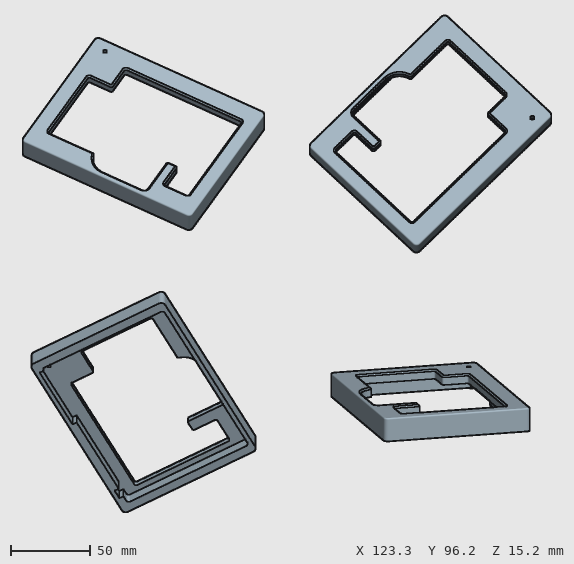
import cadquery as cq
import math

length = 123.3
width = 96.2
height = 15.2
outer_corner_radius = 3.0
top_edge_radius = 1.0

plate_thickness = 6.0
wall_thickness = 5.9
thin_wall_thickness = 3.0
pocket_corner_radius = 1.8

opening_left = -50.0
opening_right = 51.9
opening_back = 34.5
opening_front = -33.8
tab_right = -33.0
tab_front = 17.6
rib_left = 26.9
rib_right = 34.3
rib_tip = -16.8
bay_front = -44.0
bay_arc_radius = 12.3
bay_arc_center_x = -4.3
bay_corner_radius = 2.7
opening_corner_radius = 1.2
opening_chamfer = 1.1

left_recess_right = -11.0
right_recess_left = 44.1
right_recess_right = 50.3

pin_hole_diameter = 2.5
pin_hole_x = -50.9
pin_hole_y = 40.1

pocket_length = length - 2 * wall_thickness
pocket_back = width / 2 - wall_thickness
pocket_front = thin_wall_thickness - width / 2
left_recess_left = pocket_corner_radius - pocket_length / 2
recess_depth = wall_thickness - thin_wall_thickness
pocket_depth = height - plate_thickness


def make_body():
    """Solid block with round corners and a rounded top edge."""
    block = cq.Workplane("XY").box(length, width, height, centered=(True, True, False))
    return block.edges("|Z").fillet(outer_corner_radius).faces(">Z").edges().fillet(top_edge_radius)


def make_pocket():
    """Hollow below the plate."""
    pocket = cq.Workplane("XY").box(
        pocket_length, pocket_back - pocket_front, pocket_depth, centered=(True, False, False)
    )
    pocket = pocket.edges("|Z").fillet(pocket_corner_radius)
    return pocket.translate((0, pocket_front, 0))


def make_recess(left, right):
    """Rectangular recess in the inner face of the back wall, open below."""
    overlap = pocket_corner_radius
    recess = cq.Workplane("XY").box(right - left, recess_depth + overlap, pocket_depth, centered=False)
    return recess.translate((left, pocket_back - overlap, 0))


def vertical_edge_at(x, y):
    """Selector for the full-height edge standing at the given point."""
    reach = 0.1
    return cq.selectors.BoxSelector((x - reach, y - reach, 0), (x + reach, y + reach, height))


def make_opening():
    """Window with a corner tab, a rib and a bay that ends in an arc."""
    arc_center_y = bay_front + bay_arc_radius
    start_angle = math.pi + math.asin((arc_center_y - opening_front) / bay_arc_radius)
    floor_angle = 1.5 * math.pi
    middle_angle = (start_angle + floor_angle) / 2

    def arc_point(angle):
        return (
            bay_arc_center_x + bay_arc_radius * math.cos(angle),
            arc_center_y + bay_arc_radius * math.sin(angle),
        )

    outline = (
        cq.Workplane("XY")
        .moveTo(opening_left, tab_front)
        .lineTo(opening_left, opening_front)
        .lineTo(*arc_point(start_angle))
        .threePointArc(arc_point(middle_angle), (bay_arc_center_x, bay_front))
        .lineTo(rib_left, bay_front)
        .lineTo(rib_left, rib_tip)
        .lineTo(rib_right, rib_tip)
        .lineTo(rib_right, opening_front)
        .lineTo(opening_right, opening_front)
        .lineTo(opening_right, opening_back)
        .lineTo(tab_right, opening_back)
        .lineTo(tab_right, tab_front)
        .close()
    )
    window = outline.extrude(height)
    arc_end = vertical_edge_at(bay_arc_center_x, bay_front)
    bay_corner = vertical_edge_at(rib_left, bay_front)
    other_corners = cq.selectors.ParallelDirSelector(cq.Vector(0, 0, 1)) - arc_end - bay_corner
    window = window.edges(other_corners).fillet(opening_corner_radius)
    return window.edges(bay_corner).fillet(bay_corner_radius)



def chamfer_opening(frame):
    """Bevel the top rim of the opening."""
    margin = 0.1
    rim = cq.selectors.BoxSelector(
        (opening_left - margin, bay_front - margin, height - margin),
        (opening_right + margin, opening_back + margin, height + margin),
    )
    return frame.edges(rim).chamfer(opening_chamfer)


def make_pin_hole():
    """Small round hole through the plate."""
    return cq.Workplane("XY").center(pin_hole_x, pin_hole_y).circle(pin_hole_diameter / 2).extrude(height)


frame = make_body().cut(make_pocket())
frame = frame.cut(make_recess(left_recess_left, left_recess_right))
frame = frame.cut(make_recess(right_recess_left, right_recess_right))
frame = chamfer_opening(frame.cut(make_opening()))
result = frame.cut(make_pin_hole())